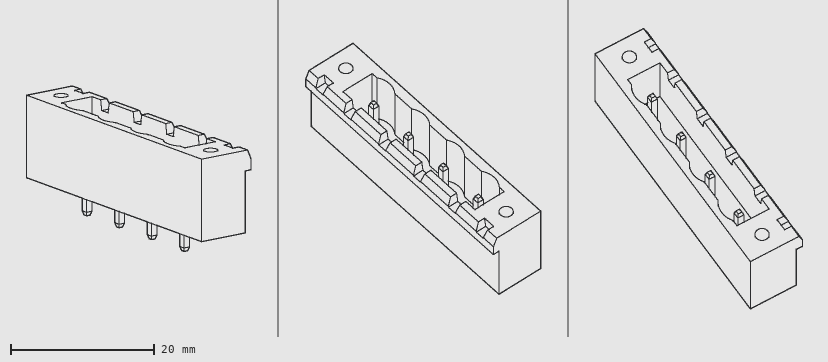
import cadquery as cq

PIN_COUNT = 4
PITCH = 7.62
END_MARGIN = 9.1
BODY_LENGTH = (PIN_COUNT - 1) * PITCH + 2 * END_MARGIN
BODY_DEPTH = 7.6
BODY_HEIGHT = 12.0

LEDGE_OVERHANG = 1.0
LEDGE_HEIGHT = 3.0
BEVEL_DEPTH = 0.6
BEVEL_HEIGHT = 1.35
LEDGE_BACK = BODY_DEPTH + LEDGE_OVERHANG

POCKET_END_WALL = 6.1
POCKET_LENGTH = BODY_LENGTH - 2 * POCKET_END_WALL
POCKET_FRONT = 1.6
POCKET_BACK = 6.9
POCKET_DEPTH = 8.5
POCKET_FLOOR = BODY_HEIGHT - POCKET_DEPTH
BULGE_RADIUS = 3.3
BULGE_REACH = 0.65

NOTCH_TOP_WIDTH = 2.0
NOTCH_FLOOR_WIDTH = 1.5
NOTCH_DEPTH = 1.5

HOLE_DIAMETER = 2.0
HOLE_DEPTH = 8.0
HOLE_FROM_END = 3.0

PIN_WIDTH = 1.0
PIN_TIP_WIDTH = 0.6
PIN_TIP_LENGTH = 0.6
PIN_BOTTOM = -4.0
PIN_TOP = 10.0

PIN_ROW_Y = BODY_DEPTH / 2
HOLE_X = BODY_LENGTH / 2 - HOLE_FROM_END
PIN_XS = [(i - (PIN_COUNT - 1) / 2) * PITCH for i in range(PIN_COUNT)]


def make_housing():
    """Solid block with the bevelled ledge, as one profile swept along X."""
    profile = [
        (0, 0),
        (BODY_DEPTH, 0),
        (BODY_DEPTH, BODY_HEIGHT - LEDGE_HEIGHT),
        (LEDGE_BACK, BODY_HEIGHT - LEDGE_HEIGHT),
        (LEDGE_BACK, BODY_HEIGHT - BEVEL_HEIGHT),
        (LEDGE_BACK - BEVEL_DEPTH, BODY_HEIGHT),
        (0, BODY_HEIGHT),
    ]
    return cq.Workplane("YZ").polyline(profile).close().extrude(BODY_LENGTH / 2, both=True)


def make_pocket():
    """Plug pocket with its row of front bulges."""
    pocket = cq.Workplane("XY").box(
        POCKET_LENGTH, POCKET_BACK - POCKET_FRONT, POCKET_DEPTH, centered=(True, False, False)
    ).translate((0, POCKET_FRONT, POCKET_FLOOR))
    bulge_y = POCKET_FRONT - BULGE_REACH + BULGE_RADIUS
    bulges = (
        cq.Workplane("XY", origin=(0, bulge_y, POCKET_FLOOR))
        .pushPoints([(x, 0) for x in PIN_XS])
        .circle(BULGE_RADIUS)
        .extrude(POCKET_DEPTH)
    )
    front_zone = cq.Workplane("XY").box(
        POCKET_LENGTH, POCKET_BACK, BODY_HEIGHT, centered=(True, False, False)
    )
    return pocket.union(bulges.intersect(front_zone))


def make_notch(x):
    """Notch with sloping sides, from the pocket's back wall out through the ledge."""
    floor_z = BODY_HEIGHT - NOTCH_DEPTH
    profile = [
        (x - NOTCH_TOP_WIDTH / 2, BODY_HEIGHT),
        (x - NOTCH_FLOOR_WIDTH / 2, floor_z),
        (x + NOTCH_FLOOR_WIDTH / 2, floor_z),
        (x + NOTCH_TOP_WIDTH / 2, BODY_HEIGHT),
    ]
    notch_start = cq.Workplane("XZ", origin=(0, POCKET_BACK, 0))
    return notch_start.polyline(profile).close().extrude(POCKET_BACK - LEDGE_BACK)


def make_screw_holes():
    """Blind holes from the top face."""
    return (
        cq.Workplane("XY", origin=(0, PIN_ROW_Y, BODY_HEIGHT - HOLE_DEPTH))
        .pushPoints([(-HOLE_X, 0), (HOLE_X, 0)])
        .circle(HOLE_DIAMETER / 2)
        .extrude(HOLE_DEPTH)
    )


def make_pin_tip(base_z, tip_z):
    """Tapered end of a pin, from its full section to the small end face."""
    return (
        cq.Workplane("XY", origin=(0, 0, base_z))
        .rect(PIN_WIDTH, PIN_WIDTH)
        .workplane(offset=tip_z - base_z)
        .rect(PIN_TIP_WIDTH, PIN_TIP_WIDTH)
        .loft()
    )


def make_pin():
    """One straight pin on the Z axis."""
    shank_bottom = PIN_BOTTOM + PIN_TIP_LENGTH
    shank_top = PIN_TOP - PIN_TIP_LENGTH
    shank = (
        cq.Workplane("XY", origin=(0, 0, shank_bottom))
        .rect(PIN_WIDTH, PIN_WIDTH)
        .extrude(shank_top - shank_bottom)
    )
    lower_tip = make_pin_tip(shank_bottom, PIN_BOTTOM)
    upper_tip = make_pin_tip(shank_top, PIN_TOP)
    return shank.union(lower_tip).union(upper_tip)


result = make_housing().cut(make_pocket()).cut(make_screw_holes())
for notch_x in [-HOLE_X, *PIN_XS, HOLE_X]:
    result = result.cut(make_notch(notch_x))

pin = make_pin()
for pin_x in PIN_XS:
    result = result.union(pin.translate((pin_x, PIN_ROW_Y, 0)))